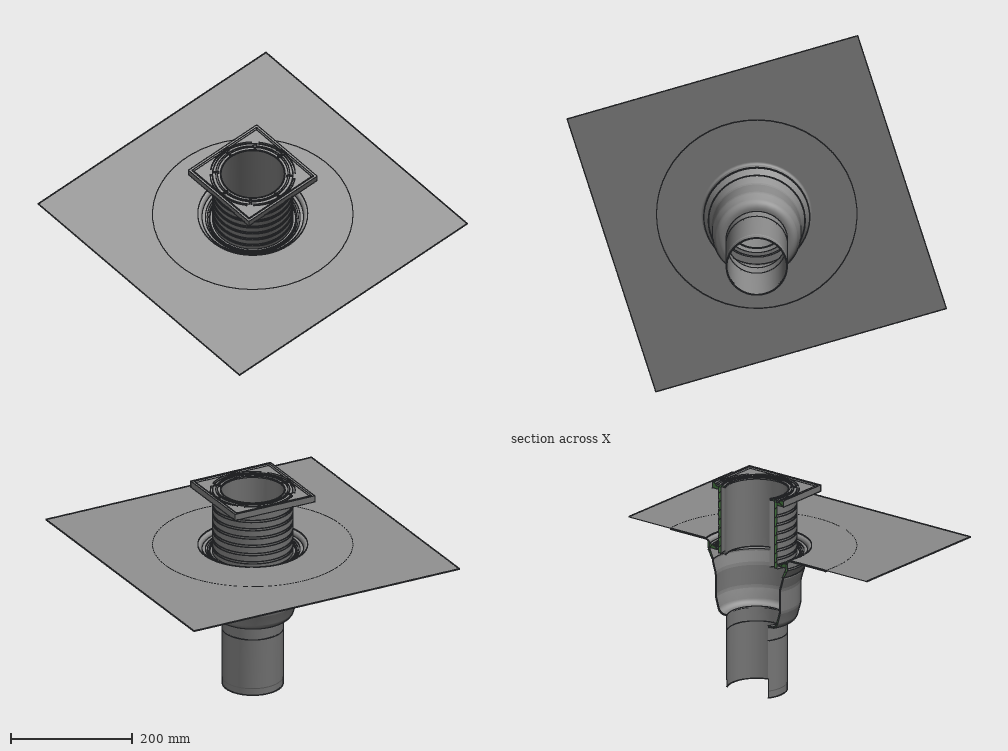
import cadquery as cq
import math


total_height = 352.0
sheet_top = 251.5
sheet_thickness = 1.5
flange_thickness = 2.0
flange_top = sheet_top - sheet_thickness
flange_bottom = flange_top - flange_thickness
neck_bottom = 235.0
neck_step_bottom = 231.5
split_level = 217.5
bowl_rim_bottom = 214.0
cone_bottom = 193.5
bowl_taper_top = 154.0
bowl_bottom = 123.5
spigot_bottom = 100.5

sheet_side = 500
sheet_hole_radius = 90.5

housing_wall = 4.0
flange_radius = 165
neck_radius = 87.5
neck_step_radius = 87.0
split_radius = 80
bowl_rim_radius = 79.0
bowl_radius = 146.0 / 2
bowl_bottom_radius = 65
bowl_wall = 3.0
housing_bore_radius = neck_radius - housing_wall
mouth_fillet = sheet_hole_radius - housing_bore_radius
neck_fillet = 4.0
bowl_blend_radius = 20
bowl_corner_fillet = 13.5
edge_level_tolerance = 0.05

pipe_radius = 102.0 / 2
pipe_bore_radius = 98.0 / 2
pipe_end_radius = 50.5
pipe_end_taper_bottom = 11.0
pipe_end_taper_height = 2.0

tube_radius = 133.0 / 2
tube_bore_radius = 60.5
tube_bottom = 230
groove_count = 6
groove_pitch = 15
groove_height = 4.0
groove_depth = 1.0
top_groove_centre = 322.5

frame_side = 150
frame_height = 11.0
frame_bottom = total_height - frame_height
recess_side_top = 142.0
recess_side_floor = 137.0
recess_depth = 1.5
seat_radius = 140 / 2
tube_socket_depth = 6.0
tube_top = frame_bottom + tube_socket_depth
key_count = 4
first_key_angle = 45
key_width = 12.0

sleeve_radius = 107.0 / 2
sleeve_bore_radius = 104.0 / 2
insert_radius = 66.0
insert_ring_height = 3.0
insert_ring_top = tube_top + insert_ring_height
slot_count = 8
slot_width = 3.5
slot_inner_radius = 56.0
insert_rim_outer_radius = 61.0
insert_rim_inner_radius = 58.0
insert_rim_height = 1.0

clamp_ring_radius = housing_bore_radius
clamp_ring_bore_radius = 141.0 / 2
clamp_ring_top = 243.0
clamp_steps = ((78.0, 1.5), (150 / 2, 2.5), (145 / 2, 3.5))
seal_top = 238.5


def ring(outer_radius, inner_radius, bottom, top):
    """Round ring about the Z axis."""
    return (
        cq.Workplane("XY")
        .workplane(offset=bottom)
        .circle(outer_radius)
        .circle(inner_radius)
        .extrude(top - bottom)
    )


def turned(profile):
    """Turn a closed (radius, height) outline drawn on XZ about the Z axis."""
    return profile.close().revolve(360, (0, 0, 0), (0, 1, 0))


def make_sheet():
    return (
        cq.Workplane("XY")
        .workplane(offset=flange_top)
        .rect(sheet_side, sheet_side)
        .circle(sheet_hole_radius)
        .extrude(sheet_thickness)
    )


def make_housing():
    """Flat flange whose rounded mouth leads into a neck and then a cone."""
    diagonal = math.sqrt(0.5)
    mouth_centre_height = flange_top - mouth_fillet
    neck_centre_radius = neck_radius + neck_fillet
    neck_centre_height = flange_bottom - neck_fillet
    profile = (
        cq.Workplane("XZ")
        .moveTo(flange_radius, flange_bottom)
        .lineTo(flange_radius, flange_top)
        .lineTo(sheet_hole_radius, flange_top)
        .threePointArc(
            (sheet_hole_radius - mouth_fillet * diagonal, mouth_centre_height + mouth_fillet * diagonal),
            (housing_bore_radius, mouth_centre_height),
        )
        .lineTo(housing_bore_radius, neck_bottom)
        .lineTo(split_radius - housing_wall, split_level)
        .lineTo(split_radius, split_level)
        .lineTo(neck_step_radius, neck_step_bottom)
        .lineTo(neck_step_radius, neck_bottom)
        .lineTo(neck_radius, neck_bottom)
        .lineTo(neck_radius, neck_centre_height)
        .threePointArc(
            (neck_centre_radius - neck_fillet * diagonal, neck_centre_height + neck_fillet * diagonal),
            (neck_centre_radius, flange_bottom),
        )
    )
    return turned(profile)


def bowl_solid(inset):
    """Solid of revolution filling the bowl, set in from its outer face by the inset."""
    floor = bowl_bottom + inset
    profile = (
        cq.Workplane("XZ")
        .moveTo(0, split_level)
        .lineTo(bowl_rim_radius - inset, split_level)
        .lineTo(bowl_rim_radius - inset, bowl_rim_bottom)
        .lineTo(bowl_radius - inset, cone_bottom)
        .lineTo(bowl_radius - inset, bowl_taper_top)
        .lineTo(bowl_bottom_radius - inset, floor)
        .lineTo(0, floor)
    )
    solid = turned(profile)
    for level, radius in (
        (cone_bottom, bowl_blend_radius),
        (bowl_taper_top, bowl_blend_radius),
        (floor, bowl_corner_fillet - inset),
    ):
        rims = solid.edges("%CIRCLE").filter(lambda edge: abs(edge.Center().z - level) < edge_level_tolerance)
        solid = solid.newObject(rims.vals()).fillet(radius)
    return solid


def make_bowl():
    """Thin bowl that narrows to a spigot at its bottom."""
    bowl = bowl_solid(0).cut(bowl_solid(bowl_wall))
    drain = cq.Workplane("XY").workplane(offset=bowl_bottom).circle(pipe_bore_radius).extrude(bowl_wall)
    return bowl.cut(drain).union(ring(pipe_radius, pipe_bore_radius, spigot_bottom, bowl_bottom))


def make_outlet_pipe():
    profile = (
        cq.Workplane("XZ")
        .moveTo(pipe_bore_radius, 0)
        .lineTo(pipe_end_radius, 0)
        .lineTo(pipe_end_radius, pipe_end_taper_bottom)
        .lineTo(pipe_radius, pipe_end_taper_bottom + pipe_end_taper_height)
        .lineTo(pipe_radius, spigot_bottom)
        .lineTo(pipe_bore_radius, spigot_bottom)
    )
    return turned(profile)


def make_tube():
    """Height extension tube with evenly spaced shallow grooves."""
    tube = ring(tube_radius, tube_bore_radius, tube_bottom, tube_top)
    for index in range(groove_count):
        groove_bottom = top_groove_centre - index * groove_pitch - groove_height / 2
        groove_top = groove_bottom + groove_height
        groove = ring(tube_radius + groove_depth, tube_radius - groove_depth, groove_bottom, groove_top)
        tube = tube.cut(groove)
    return tube


def make_keys():
    """Blocks that stand inward from the round seat of the frame to centre the insert ring."""
    length = seat_radius - insert_radius
    return (
        cq.Workplane("XY")
        .workplane(offset=tube_top)
        .polarArray(insert_radius + length / 2, first_key_angle, 360, key_count)
        .rect(length, key_width)
        .extrude(total_height - tube_top)
    )


def make_frame():
    """Square plate with a sloped recess, a keyed round seat and a socket for the tube."""
    plate = (
        cq.Workplane("XY").workplane(offset=frame_bottom).rect(frame_side, frame_side).extrude(frame_height)
    )
    floor = total_height - recess_depth
    recess = (
        cq.Workplane("XY")
        .workplane(offset=floor)
        .rect(recess_side_floor, recess_side_floor)
        .workplane(offset=recess_depth)
        .rect(recess_side_top, recess_side_top)
        .loft()
    )
    seat = cq.Workplane("XY").workplane(offset=tube_top).circle(seat_radius).extrude(floor - tube_top)
    socket = cq.Workplane("XY").workplane(offset=frame_bottom).circle(tube_radius).extrude(tube_socket_depth)
    return plate.cut(recess).cut(seat.cut(make_keys())).cut(socket)


def make_insert_ring():
    """Flat ring on the tube end, with a raised rim and radial slots open at its outer edge."""
    rim_top = insert_ring_top + insert_rim_height
    base = ring(insert_radius, sleeve_radius, tube_top, insert_ring_top)
    rim = ring(insert_rim_outer_radius, insert_rim_inner_radius, insert_ring_top, rim_top)
    slot_length = seat_radius - slot_inner_radius
    slots = (
        cq.Workplane("XY")
        .workplane(offset=tube_top)
        .polarArray(slot_inner_radius + slot_length / 2, 0, 360, slot_count)
        .rect(slot_length, slot_width)
        .extrude(rim_top - tube_top)
    )
    return base.union(rim).cut(slots)


def make_sleeve():
    return ring(sleeve_radius, sleeve_bore_radius, tube_bottom, insert_ring_top)


def make_clamp_ring():
    """Ring in the housing bore that steps down toward the tube."""
    clamp = ring(clamp_ring_radius, clamp_ring_bore_radius, neck_bottom, clamp_ring_top)
    for radius, depth in clamp_steps:
        clamp = clamp.cut(ring(radius, clamp_ring_bore_radius, clamp_ring_top - depth, clamp_ring_top))
    return clamp


def make_seal():
    return ring(clamp_ring_bore_radius, tube_radius, neck_bottom, seal_top)


sheet = make_sheet()
housing = make_housing()
bowl = make_bowl()
outlet_pipe = make_outlet_pipe()
tube = make_tube()
frame = make_frame()
insert_ring = make_insert_ring()
sleeve = make_sleeve()
clamp_ring = make_clamp_ring()
seal = make_seal()

bodies = [
    sheet, housing, bowl, outlet_pipe, tube,
    frame, insert_ring, sleeve, clamp_ring, seal,
]
result = cq.Compound.makeCompound([body.val() for body in bodies])